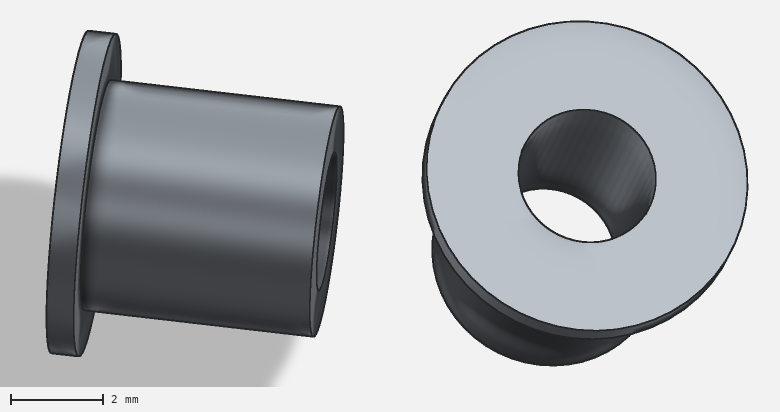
import cadquery as cq
import math

flange_diameter = 7.0
body_diameter = 5.0
bore_diameter = 3.0
flange_thickness = 0.595
total_length = 5.59
tilt_angle = 28.5

tilt = math.radians(tilt_angle)
axis_direction = (math.sin(tilt), math.cos(tilt), 0)
flange_face = cq.Plane(origin=(0, 0, 0), xDir=(0, 0, 1), normal=axis_direction)


def cylinder(diameter, length):
    """Cylinder along the bushing axis, starting at the flange face."""
    return cq.Workplane(flange_face).circle(diameter / 2).extrude(length)


flange = cylinder(flange_diameter, flange_thickness)
body = cylinder(body_diameter, total_length)
bore = cylinder(bore_diameter, total_length)

result = flange.union(body).cut(bore)